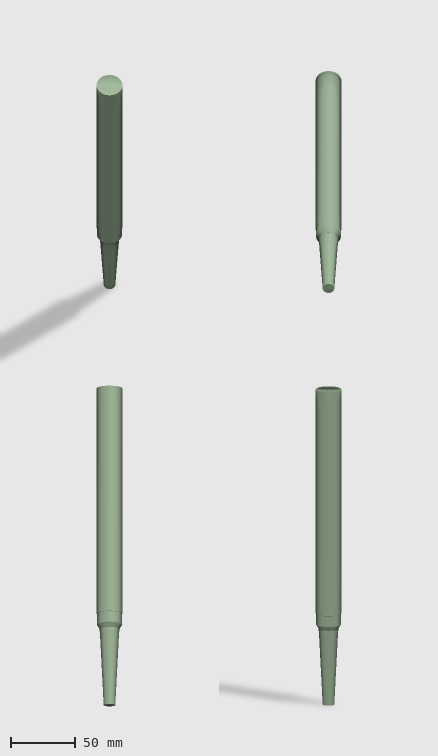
import cadquery as cq
import math

overall_length = 250.0
shank_diameter = 20.0
collar_diameter = 19.6
neck_diameter = 15.1
tip_diameter = 9.0
taper_half_angle = 2.9

shank_bottom = 72.4
shank_chamfer_height = 0.25
collar_bottom = 63.7
neck_top = 60.2
neck_bottom = 58.2

shank_radius = shank_diameter / 2
collar_radius = collar_diameter / 2
collar_top = shank_bottom - shank_chamfer_height
neck_radius = neck_diameter / 2
tip_radius = tip_diameter / 2
taper_top_radius = tip_radius + neck_bottom * math.tan(math.radians(taper_half_angle))


def turned_body():
    """Revolve the half profile of taper, neck, conical flare, collar and shank about Z."""
    profile = (
        cq.Workplane("XZ")
        .lineTo(tip_radius, 0)
        .lineTo(taper_top_radius, neck_bottom)
        .lineTo(neck_radius, neck_bottom)
        .lineTo(neck_radius, neck_top)
        .lineTo(collar_radius, collar_bottom)
        .lineTo(collar_radius, collar_top)
        .lineTo(shank_radius, shank_bottom)
        .lineTo(shank_radius, overall_length)
        .lineTo(0, overall_length)
        .close()
    )
    return profile.revolve(360, (0, 0, 0), (0, 1, 0))


result = turned_body()